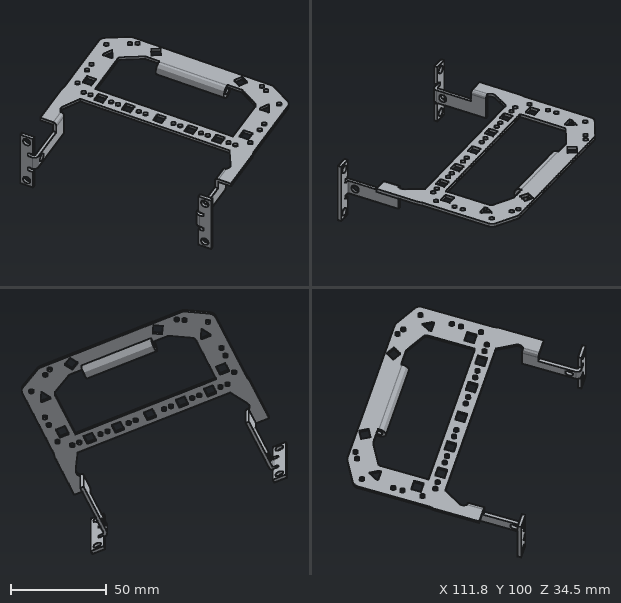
import cadquery as cq
import math

SHEET = 2.0
HALF_WIDTH = 55.9
DEPTH = 100.0
FOOT_HEIGHT = 34.5
MID_Z = FOOT_HEIGHT / 2
SLANT = 30.0
TAN_SLANT = math.tan(math.radians(SLANT))

PLATE_TOP = 27.7
PLATE_BOTTOM = PLATE_TOP - SHEET
SIDE_X = 55.45
WIDEN_BACK_Y = 50.0
WIDEN_FRONT_Y = 47.8
EAR_FRONT_Y = 23.0
BACK_CORNER_X = 41.4
SIDE_CORNER_Y = DEPTH - (SIDE_X - BACK_CORNER_X) * TAN_SLANT
CORNER_RADIUS = 4.0

WINDOW_X = 40.3
WINDOW_FRONT_Y = 55.8
WINDOW_BACK_Y = 89.8
WINDOW_CORNER_X = 28.4
WINDOW_CORNER_Y = WINDOW_BACK_Y - (WINDOW_X - WINDOW_CORNER_X) * TAN_SLANT
WINDOW_RADIUS = 2.0

LEG_INNER_X = 46.4
LEG_OUTER_X = LEG_INNER_X + SHEET
LEG_BACK_Y = 32.0
LEG_HEIGHT = 8.0
LEG_BOTTOM = MID_Z - LEG_HEIGHT / 2
LEG_TOP = MID_Z + LEG_HEIGHT / 2
LEG_HOLE_Y = 6.2
MOUNT_HOLE_DIAMETER = 4.3

BAR_FRONT_Y = 45.4
BAR_END_X = 43.7
NOTCH_START_Y = 36.1
NOTCH_START_X = BAR_END_X + (BAR_FRONT_Y - NOTCH_START_Y) * TAN_SLANT

FOOT_INNER_X = 48.4
FOOT_BEND_INNER_RADIUS = 0.5
FOOT_BEND_OUTER_RADIUS = FOOT_BEND_INNER_RADIUS + SHEET
FOOT_BEND_X = LEG_OUTER_X + FOOT_BEND_INNER_RADIUS
FOOT_HOLE_X = (FOOT_INNER_X + HALF_WIDTH) / 2
FOOT_HOLE_OFFSET = 13.5
SLOT_WIDTH = 2.2
SLOT_END_X = 51.6

HOOK_LENGTH = 40.0
HOOK_RADIUS = 4.0
HOOK_Y = 89.4
HOOK_Z = PLATE_TOP - HOOK_RADIUS

PIN_DIAMETER = 2.5
PIN_PITCH = 4.0
SQUARE = 5.0
ROW_Y = (WINDOW_FRONT_Y + BAR_FRONT_Y) / 2
ROW_PITCH = 16.15
ROW_PAIR_COUNT = 3
ROW_SQUARE_COUNT = 2
FIRST_PAIR_X = 10.15
FIRST_SQUARE_X = 18.35
SIDE_PIN_X = 50.6
SIDE_PIN_YS = (55.7, 66.7, 71.7, 88.9)
SIDE_OPENING_X = 45.9
SIDE_OPENING_SIZE = 5.2
SIDE_SQUARE_Y = 60.0
GABLE_BASE_Y = 80.75
GABLE_PEAK_Y = 86.4
SLANTED_SQUARE_CENTRE = (24.8, 95.4)
SLANTED_PAIR_CENTRE = (38.15, 95.95)


def plate_plane():
    """Plane of the plate's underside."""
    return cq.Workplane("XY", origin=(0, 0, PLATE_BOTTOM))


def round_plate_corner(body, x, y, radius):
    """Round the vertical edge of a plate-thick body at (x, y)."""
    mid_edge = (x, y, PLATE_BOTTOM + SHEET / 2)
    return body.edges(cq.selectors.NearestToPointSelector(mid_edge)).fillet(radius)


def make_plate():
    """Right half of the plate, without openings."""
    plate = (
        plate_plane()
        .moveTo(0, BAR_FRONT_Y)
        .lineTo(BAR_END_X, BAR_FRONT_Y)
        .lineTo(NOTCH_START_X, NOTCH_START_Y)
        .tangentArcPoint((LEG_OUTER_X, LEG_BACK_Y), relative=False)
        .lineTo(LEG_OUTER_X, EAR_FRONT_Y)
        .lineTo(HALF_WIDTH, EAR_FRONT_Y)
        .lineTo(HALF_WIDTH, WIDEN_FRONT_Y)
        .lineTo(SIDE_X, WIDEN_BACK_Y)
        .lineTo(SIDE_X, SIDE_CORNER_Y)
        .lineTo(BACK_CORNER_X, DEPTH)
        .lineTo(0, DEPTH)
        .close()
        .extrude(SHEET)
    )
    plate = round_plate_corner(plate, SIDE_X, SIDE_CORNER_Y, CORNER_RADIUS)
    return round_plate_corner(plate, BACK_CORNER_X, DEPTH, CORNER_RADIUS)


def make_window():
    """Right half of the window."""
    window = (
        plate_plane()
        .moveTo(0, WINDOW_BACK_Y)
        .lineTo(WINDOW_CORNER_X, WINDOW_BACK_Y)
        .lineTo(WINDOW_X, WINDOW_CORNER_Y)
        .lineTo(WINDOW_X, WINDOW_FRONT_Y)
        .lineTo(0, WINDOW_FRONT_Y)
        .close()
        .extrude(SHEET)
    )
    window = round_plate_corner(window, WINDOW_CORNER_X, WINDOW_BACK_Y, WINDOW_RADIUS)
    return round_plate_corner(window, WINDOW_X, WINDOW_CORNER_Y, WINDOW_RADIUS)


def pin_pair(centre, angle):
    return (
        plate_plane()
        .center(*centre)
        .transformed(rotate=(0, 0, angle))
        .rarray(PIN_PITCH, 1, 2, 1)
        .circle(PIN_DIAMETER / 2)
        .extrude(SHEET)
    )


def square_opening(centre, size, angle):
    return (
        plate_plane()
        .center(*centre)
        .transformed(rotate=(0, 0, angle))
        .rect(size, size)
        .extrude(SHEET)
    )


def gable_opening():
    """House-shaped opening: short upright sides under a 60 degree peak."""
    half_base = SIDE_OPENING_SIZE / 2
    eaves_y = GABLE_PEAK_Y - half_base / TAN_SLANT
    corners = [
        (SIDE_OPENING_X - half_base, GABLE_BASE_Y),
        (SIDE_OPENING_X + half_base, GABLE_BASE_Y),
        (SIDE_OPENING_X + half_base, eaves_y),
        (SIDE_OPENING_X, GABLE_PEAK_Y),
        (SIDE_OPENING_X - half_base, eaves_y),
    ]
    return plate_plane().polyline(corners).close().extrude(SHEET)


def side_pins():
    centres = [(SIDE_PIN_X, y) for y in SIDE_PIN_YS]
    return plate_plane().pushPoints(centres).circle(PIN_DIAMETER / 2).extrude(SHEET)


def make_perforations():
    """Openings of the right half of the plate, including the square on the centre line."""
    openings = [
        side_pins(),
        gable_opening(),
        square_opening((SIDE_OPENING_X, SIDE_SQUARE_Y), SIDE_OPENING_SIZE, 0),
        square_opening(SLANTED_SQUARE_CENTRE, SQUARE, -SLANT),
        pin_pair(SLANTED_PAIR_CENTRE, -SLANT),
        square_opening((0, ROW_Y), SQUARE, 0),
    ]
    for i in range(ROW_PAIR_COUNT):
        openings.append(pin_pair((FIRST_PAIR_X + i * ROW_PITCH, ROW_Y), 0))
    for i in range(ROW_SQUARE_COUNT):
        openings.append(square_opening((FIRST_SQUARE_X + i * ROW_PITCH, ROW_Y), SQUARE, 0))
    return openings


def make_hook():
    """Right half of the three-quarter roll, open at the upper back and level with the plate top."""
    inner_radius = HOOK_RADIUS - SHEET
    diagonal = math.sqrt(0.5)
    outer_mid = -HOOK_RADIUS * diagonal
    inner_mid = -inner_radius * diagonal
    root_y = WINDOW_BACK_Y - HOOK_Y
    return (
        cq.Workplane("YZ", origin=(0, HOOK_Y, HOOK_Z))
        .moveTo(0, HOOK_RADIUS)
        .threePointArc((outer_mid, outer_mid), (HOOK_RADIUS, 0))
        .lineTo(inner_radius, 0)
        .threePointArc((inner_mid, inner_mid), (0, inner_radius))
        .lineTo(root_y, inner_radius)
        .lineTo(root_y, HOOK_RADIUS)
        .close()
        .extrude(HOOK_LENGTH / 2)
    )


def make_leg():
    """Right leg, its top rounded over by the fold from the plate."""
    leg = (
        cq.Workplane("YZ", origin=(LEG_INNER_X, 0, 0))
        .moveTo(FOOT_BEND_OUTER_RADIUS, LEG_BOTTOM)
        .lineTo(LEG_BACK_Y, LEG_BOTTOM)
        .lineTo(LEG_BACK_Y, PLATE_TOP)
        .lineTo(EAR_FRONT_Y, PLATE_TOP)
        .lineTo(EAR_FRONT_Y, LEG_TOP)
        .lineTo(FOOT_BEND_OUTER_RADIUS, LEG_TOP)
        .close()
        .extrude(SHEET)
    )
    outside_fold = (
        cq.Workplane("XZ", origin=(0, LEG_BACK_Y, 0))
        .moveTo(LEG_INNER_X, PLATE_BOTTOM)
        .radiusArc((LEG_OUTER_X, PLATE_TOP), SHEET)
        .lineTo(LEG_INNER_X, PLATE_TOP)
        .close()
        .extrude(LEG_BACK_Y - EAR_FRONT_Y)
    )
    hole = (
        cq.Workplane("YZ", origin=(LEG_INNER_X, LEG_HOLE_Y, MID_Z))
        .circle(MOUNT_HOLE_DIAMETER / 2)
        .extrude(SHEET)
    )
    return leg.cut(outside_fold).cut(hole)


def make_foot_bend():
    """Quarter bend joining the right leg to its foot."""
    return (
        cq.Workplane("XY", origin=(0, 0, LEG_BOTTOM))
        .moveTo(LEG_INNER_X, FOOT_BEND_OUTER_RADIUS)
        .radiusArc((FOOT_BEND_X, 0), -FOOT_BEND_OUTER_RADIUS)
        .lineTo(FOOT_BEND_X, SHEET)
        .radiusArc((LEG_OUTER_X, FOOT_BEND_OUTER_RADIUS), FOOT_BEND_INNER_RADIUS)
        .close()
        .extrude(LEG_HEIGHT)
    )


def foot_plane(x, z):
    """Plane on the foot's back face, centred at (x, z); extrusions run forward to Y = 0."""
    return cq.Workplane("XZ", origin=(x, SHEET, z))


def make_foot():
    """Right foot with two screw holes and bend-relief slots above and below the leg."""
    foot = foot_plane(FOOT_HOLE_X, MID_Z).rect(HALF_WIDTH - FOOT_INNER_X, FOOT_HEIGHT).extrude(SHEET)
    bend_gap_width = FOOT_BEND_X - FOOT_INNER_X
    bend_gap_x = FOOT_INNER_X + bend_gap_width / 2
    foot = foot.cut(foot_plane(bend_gap_x, MID_Z).rect(bend_gap_width, LEG_HEIGHT).extrude(SHEET))

    slot_length = 2 * (SLOT_END_X - FOOT_INNER_X)
    slot_offset = (LEG_HEIGHT + SLOT_WIDTH) / 2
    for side in (1, -1):
        slot_plane = foot_plane(FOOT_INNER_X, MID_Z + side * slot_offset)
        hole_plane = foot_plane(FOOT_HOLE_X, MID_Z + side * FOOT_HOLE_OFFSET)
        foot = foot.cut(slot_plane.slot2D(slot_length, SLOT_WIDTH).extrude(SHEET))
        foot = foot.cut(hole_plane.circle(MOUNT_HOLE_DIAMETER / 2).extrude(SHEET))
    return foot


def make_right_half():
    half = make_plate().cut(make_window())
    for opening in make_perforations():
        half = half.cut(opening)
    for piece in (make_hook(), make_leg(), make_foot_bend(), make_foot()):
        half = half.union(piece)
    return half


right_half = make_right_half()
result = right_half.union(right_half.mirror("YZ")).clean()